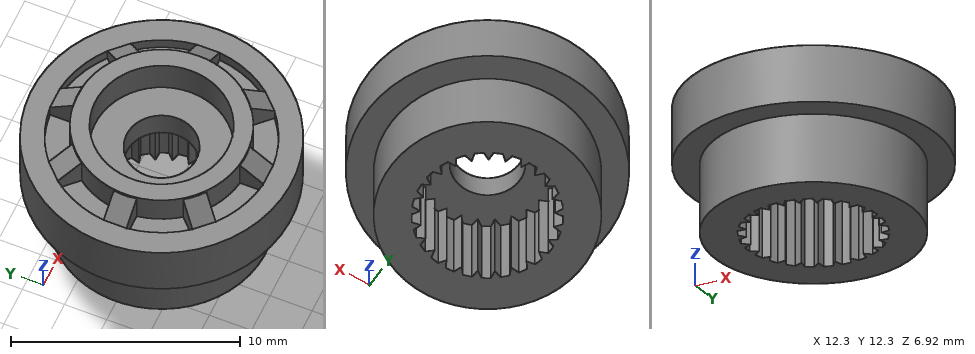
import cadquery as cq
import math

total_height = 6.92
flange_bottom = 3.3
flange_top = 6.05

flange_diameter = 12.32
hub_diameter = 9.9

recess_diameter = 6.27
recess_depth = 1.66
hole_diameter = 3.3
hole_length = 1.3

collar_diameter = 7.97
groove_diameter = 10.18
groove_depth = 0.55

rib_count = 8
rib_width = 1.08
rib_drop = 0.09

spline_count = 25
socket_radius = 3.3
spline_tip_radius = 2.95
spline_half_width = 0.21

recess_floor = total_height - recess_depth
socket_depth = recess_floor - hole_length
groove_floor = flange_top - groove_depth
collar_radius = collar_diameter / 2
groove_radius = groove_diameter / 2


def cylinder(diameter, bottom, top):
    return cq.Workplane("XY").workplane(offset=bottom).circle(diameter / 2).extrude(top - bottom)


def body():
    hub = cylinder(hub_diameter, 0, flange_bottom)
    flange = cylinder(flange_diameter, flange_bottom, flange_top)
    groove = cylinder(groove_diameter, groove_floor, flange_top)
    collar = cylinder(collar_diameter, groove_floor, total_height)
    return hub.union(flange).cut(groove).union(collar)


def rib():
    slope_start = math.sqrt(collar_radius**2 - (rib_width / 2) ** 2)
    slope_end = math.sqrt(groove_radius**2 - (rib_width / 2) ** 2)
    root_radius = (recess_diameter / 2 + collar_radius) / 2
    slope_top = total_height - rib_drop
    profile = [
        (root_radius, groove_floor),
        (groove_radius, groove_floor),
        (groove_radius, flange_top),
        (slope_end, flange_top),
        (slope_start, slope_top),
        (root_radius, slope_top),
    ]
    return cq.Workplane("XZ").polyline(profile).close().extrude(rib_width / 2, both=True)


def spline_ridge():
    wall_x = math.sqrt(socket_radius**2 - spline_half_width**2)
    ridge_back = socket_radius + 0.12
    profile = [
        (spline_tip_radius, 0),
        (wall_x, spline_half_width),
        (ridge_back, spline_half_width),
        (ridge_back, -spline_half_width),
        (wall_x, -spline_half_width),
    ]
    return cq.Workplane("XY").polyline(profile).close().extrude(socket_depth)


def splined_socket():
    socket = cylinder(2 * socket_radius, 0, socket_depth)
    for i in range(spline_count):
        angle = i * 360 / spline_count
        socket = socket.cut(spline_ridge().rotate((0, 0, 0), (0, 0, 1), angle))
    return socket


result = body()
for i in range(rib_count):
    result = result.union(rib().rotate((0, 0, 0), (0, 0, 1), i * 360 / rib_count))
result = result.cut(cylinder(recess_diameter, recess_floor, total_height))
result = result.cut(cylinder(hole_diameter, 0, recess_floor))
result = result.cut(splined_socket())